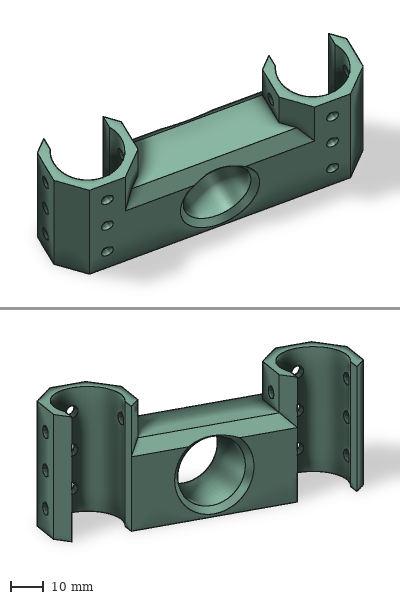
import cadquery as cq

depth = 24.3
length = 104.8
height = 41.3

bore_radius = 11.4
wall = 2.8
mouth_half_width = 10.1
back_chamfer = 8.2
clip_half_width = bore_radius + wall
lip_chamfer = clip_half_width - mouth_half_width
bore_x = depth - clip_half_width
clip_y = length / 2 - clip_half_width

bridge_height = 28.7
bridge_chamfer = 4.1
countersink_depth = 2.0

hole_radius = 2.0
hole_pitch = 12.7
hole_heights = [height / 2 + step * hole_pitch for step in (-1, 0, 1)]


def clip_block():
    """Octagon-like clip body centred on Y = 0, before its bore is cut."""
    return (
        cq.Workplane("XY")
        .moveTo(0, -mouth_half_width)
        .lineTo(lip_chamfer, -clip_half_width)
        .lineTo(depth - back_chamfer, -clip_half_width)
        .lineTo(depth, -clip_half_width + back_chamfer)
        .lineTo(depth, clip_half_width - back_chamfer)
        .lineTo(depth - back_chamfer, clip_half_width)
        .lineTo(lip_chamfer, clip_half_width)
        .lineTo(0, mouth_half_width)
        .close()
        .extrude(height)
    )


def clip_opening():
    """Tube bore joined to the flat-sided mouth."""
    bore = cq.Workplane("XY").center(bore_x, 0).circle(bore_radius).extrude(height)
    mouth = cq.Workplane("XY").rect(2 * bore_x, 2 * mouth_half_width).extrude(height)
    return bore.union(mouth)


def rod(start, direction, reach):
    """Cutting cylinder for one screw hole."""
    return cq.Workplane(
        cq.Solid.makeCylinder(hole_radius, reach, cq.Vector(*start), cq.Vector(*direction))
    )


def bridge():
    """Bar joining the clips, with both upper long edges chamfered."""
    return (
        cq.Workplane("XY")
        .box(depth, 2 * clip_y, bridge_height, centered=(False, True, False))
        .edges("|Y and >Z")
        .chamfer(bridge_chamfer)
    )


def cross_bore():
    """Bore along X through the bridge, countersunk 45 degrees at both faces."""
    mouth_radius = bore_radius + countersink_depth
    return (
        cq.Workplane("XY")
        .polyline([
            (0, 0),
            (0, mouth_radius),
            (countersink_depth, bore_radius),
            (depth - countersink_depth, bore_radius),
            (depth, mouth_radius),
            (depth, 0),
        ])
        .close()
        .revolve(360, (0, 0, 0), (1, 0, 0))
        .translate((0, 0, bridge_height / 2))
    )


result = bridge().cut(cross_bore())
for side in (-1, 1):
    result = result.union(clip_block().translate((0, side * clip_y, 0)))
for side in (-1, 1):
    center_y = side * clip_y
    result = result.cut(clip_opening().translate((0, center_y, 0)))
    for z in hole_heights:
        result = result.cut(rod((bore_x, center_y, z), (1, 0, 0), depth))
        result = result.cut(rod((bore_x, center_y, z), (0, side, 0), length))

result = result.cut(rod((bore_x, -clip_y, hole_heights[-1]), (0, 1, 0), 2 * clip_y))